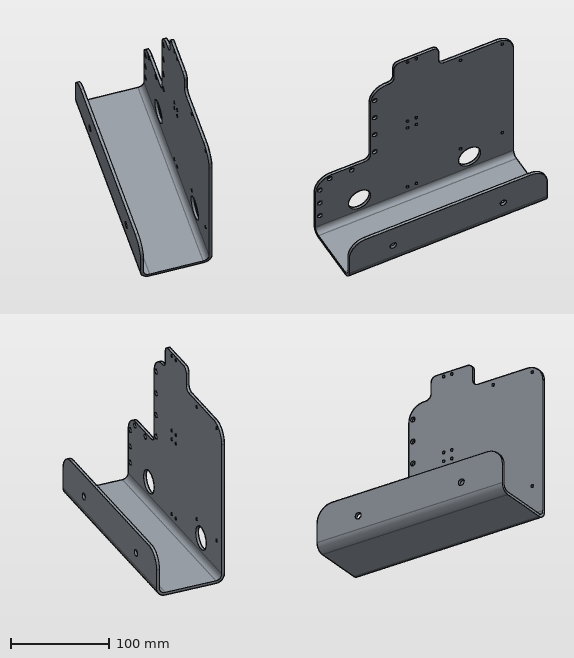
import cadquery as cq

width = 228.5
depth = 76.1
height = 205.7
sheet = 3.2
bend_radius = 9.5
lip_height = 50.7

step_x = 63.3
step_z = 78.6
shoulder_z = 180.1
tab_left = 90.8
tab_right = 142.2
corner_radius = 19.0
small_radius = 6.5

edge_hole_diameter = 5.3
edge_inset = 5.0
edge_pitch = 25.4
edge_column_bottom = 87.5
edge_column_count = 4
shelf_first_x = 16.5
shelf_hole_count = 2
left_pitch = 19.0
left_bottom = 24.2
left_hole_count = 3

small_hole_diameter = 3.0
pair_left_x = 106.3
pair_pitch = 10.0
pair_heights = (16.2, 104.0, 104.0 + pair_pitch, 201.9)
mount_xs = (167.3, 215.5)
mount_heights = (42.0, 173.7)

lip_hole_diameter = 7.0
access_hole_diameter = 25.4
lip_hole_inset = 50.7
lip_hole_z = 25.4
lip_hole_points = [(x, lip_hole_z) for x in (lip_hole_inset, width - lip_hole_inset)]


def prism(sketch_points, y_front, y_back):
    """Extrude an XZ outline between two Y positions."""
    plane = cq.Workplane("XZ", origin=(0, y_front, 0))
    return plane.polyline(sketch_points).close().extrude(y_front - y_back)


def round_corners(body, corners, radius):
    """Round the Y-direction edges that stand at the given XZ corners."""
    reach = 0.2
    for x, z in corners:
        pick = cq.selectors.BoxSelector((x - reach, -depth, z - reach), (x + reach, 2 * depth, z + reach))
        body = body.edges("|Y").edges(pick).fillet(radius)
    return body


def drill(body, points, diameter, y_front, y_back):
    """Cut round holes along Y through the sheet between two Y positions."""
    plane = cq.Workplane("XZ", origin=(0, y_front, 0))
    return body.cut(plane.pushPoints(points).circle(diameter / 2).extrude(y_front - y_back))


def bent_channel():
    """U-shaped sheet with both walls at full height and rounded bends."""
    outer = cq.Workplane("XY").box(width, depth, height, centered=False)
    outer = outer.edges("|X and <Z").fillet(bend_radius)
    inner = (
        cq.Workplane("XY", origin=(0, sheet, sheet))
        .box(width, depth - 2 * sheet, height, centered=False)
        .edges("|X and <Z")
        .fillet(bend_radius - sheet)
    )
    return outer.cut(inner)


def back_outline():
    """Stepped outline of the back wall, carried forward over the floor."""
    tab_top = [(tab_left, height), (tab_right, height)]
    tab_roots = [(tab_left, shoulder_z), (tab_right, shoulder_z)]
    step_corner = (step_x, step_z)
    large_corners = [(0, step_z), (step_x, shoulder_z), (width, shoulder_z)]
    points = [
        (0, 0),
        (width, 0),
        (width, shoulder_z),
        tab_roots[1],
        tab_top[1],
        tab_top[0],
        tab_roots[0],
        (step_x, shoulder_z),
        step_corner,
        (0, step_z),
    ]
    body = prism(points, depth / 2, depth)
    body = round_corners(body, large_corners, corner_radius)
    return round_corners(body, tab_top + tab_roots + [step_corner], small_radius)


def lip_outline():
    """Round-cornered outline of the front lip, carried back over the floor."""
    top_corners = [(0, lip_height), (width, lip_height)]
    body = prism([(0, 0), (width, 0)] + top_corners[::-1], 0, depth / 2)
    return round_corners(body, top_corners, corner_radius)


bracket = bent_channel().intersect(back_outline().union(lip_outline()))

edge_points = [(step_x + edge_inset, edge_column_bottom + i * edge_pitch) for i in range(edge_column_count)]
edge_points += [(shelf_first_x + i * edge_pitch, step_z - edge_inset) for i in range(shelf_hole_count)]
edge_points += [(edge_inset, left_bottom + i * left_pitch) for i in range(left_hole_count)]
bracket = drill(bracket, edge_points, edge_hole_diameter, depth - sheet, depth)

small_points = [(x, z) for x in (pair_left_x, pair_left_x + pair_pitch) for z in pair_heights]
small_points += [(x, z) for x in mount_xs for z in mount_heights]
bracket = drill(bracket, small_points, small_hole_diameter, depth - sheet, depth)

bracket = drill(bracket, lip_hole_points, lip_hole_diameter, 0, sheet)
bracket = drill(bracket, lip_hole_points, access_hole_diameter, depth - sheet, depth)

result = bracket